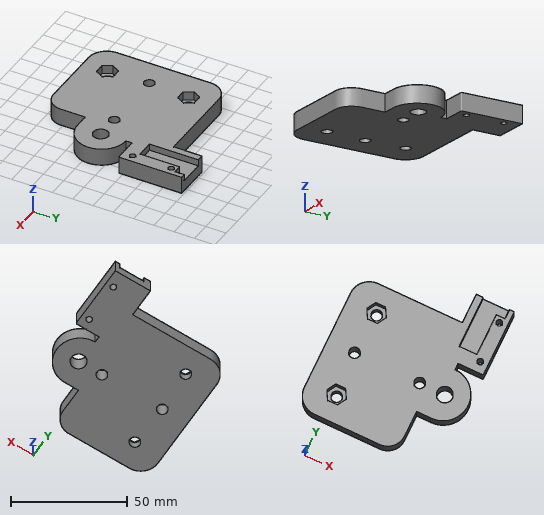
import cadquery as cq

thickness = 8.5
overall_width = 67.2
overall_length = 78.1
plate_width = 48.3
plate_length = 64.1
left_corner_radius = 9.0
right_corner_radius = 8.05
centre_y = plate_length / 2

lug_radius = 11.95
lug_x = overall_width - lug_radius
lug_hole_x = 56.1
lug_hole_diameter = 7.3

tab_left = 49.1
tab_bottom = 47.0
tab_corner_radius = 0.5
tab_hole_x = 63.6
tab_hole_ys = (51.85, 70.9)
tab_hole_diameter = 2.8

channel_left = 52.4
channel_right = 60.8
channel_bottom = 54.0
channel_depth = 3.2
step_right = 64.9
step_bottom = 73.55

screw_diameter = 5.0
plain_hole_xs = (13.0, 44.05)
nut_x = 14.0
nut_spacing = 40.0
nut_across_corners = 9.4
nut_depth = thickness / 2


def block(left, right, bottom, top, height=thickness, base=0):
    """Box given by its edges in X and Y, rising from the base height."""
    corner = (left, bottom, base)
    return cq.Workplane("XY").box(right - left, top - bottom, height, centered=False).translate(corner)


def through_holes(points, diameter):
    """Round cutters through the full thickness."""
    return cq.Workplane("XY").pushPoints(points).circle(diameter / 2).extrude(thickness)


def make_plate():
    plate = block(0, plate_width, 0, plate_length)
    plate = plate.edges("|Z and <X").fillet(left_corner_radius)
    return plate.edges("|Z").edges(">X and <Y").fillet(right_corner_radius)


def make_lug():
    disc = cq.Workplane("XY").center(lug_x, centre_y).circle(lug_radius).extrude(thickness)
    neck_left = plate_width - right_corner_radius
    return disc.union(block(neck_left, lug_x, centre_y - lug_radius, centre_y + lug_radius))


def make_tab():
    tab = block(tab_left, overall_width, tab_bottom, overall_length)
    tab = tab.edges("|Z").edges(">X and <Y").fillet(tab_corner_radius)
    web = block(plate_width - right_corner_radius, lug_x, centre_y, plate_length)
    return tab.union(web)


def make_channel():
    floor = thickness - channel_depth
    channel = block(channel_left, channel_right, channel_bottom, overall_length, channel_depth, floor)
    return channel.union(block(channel_left, step_right, step_bottom, overall_length, channel_depth, floor))


nut_points = [(nut_x, centre_y + side * nut_spacing / 2) for side in (-1, 1)]
plain_points = [(x, centre_y) for x in plain_hole_xs]
tab_points = [(tab_hole_x, y) for y in tab_hole_ys]
nut_pockets = (
    cq.Workplane("XY", origin=(0, 0, thickness - nut_depth))
    .pushPoints(nut_points)
    .polygon(6, nut_across_corners)
    .extrude(nut_depth)
)

result = (
    make_plate()
    .union(make_lug())
    .union(make_tab())
    .cut(make_channel())
    .cut(nut_pockets)
    .cut(through_holes(nut_points + plain_points, screw_diameter))
    .cut(through_holes([(lug_hole_x, centre_y)], lug_hole_diameter))
    .cut(through_holes(tab_points, tab_hole_diameter))
    .clean()
)